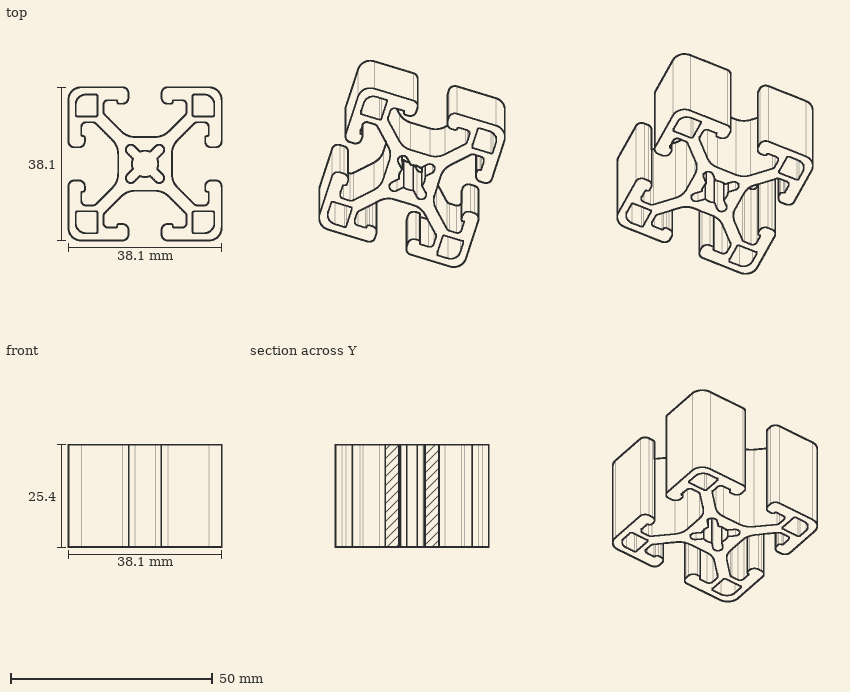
import cadquery as cq
import math

WIDTH = 38.1
LENGTH = 25.4
HALF = WIDTH / 2
CORNER_RADIUS = 3.2

MOUTH_HALF = 4.08
LIP_DEPTH = 4.15
LIP_RADIUS = 1.55
LIP_INNER_HALF = 6.95
LIP_INNER_RADIUS = 0.55
SHELF_DEPTH = 3.28
SHELF_STEP_RADIUS = 0.23
UNDERCUT_HALF = 10.3
UNDERCUT_RADIUS = 1.05
FLOOR_HEIGHT = 6.7
FLOOR_RADIUS = 4.8
WEB_WIDTH = 3.12

CHAMBER_WALL = 1.85
CHAMBER_INNER = 11.8
CHAMBER_RADIUS = 2.48
CHAMBER_SMALL_RADIUS = 0.4

BORE_RADIUS = 3.25
LOBE_RADIUS = 1.22
LOBE_CENTER = 3.5

QUARTER_TURNS = (0, 90, 180, 270)


def round_edge(body, x, y, radius):
    """Fillet the lengthwise edge that passes through (x, y)."""
    edge_finder = cq.selectors.NearestToPointSelector((x, y, LENGTH / 2))
    return body.edges("|Z").edges(edge_finder).fillet(radius)


def make_slot():
    """Cutting body for the T-slot on the +Y side."""
    web_offset = WEB_WIDTH / 2 * math.sqrt(2)
    lip_y = HALF - LIP_DEPTH
    shelf_y = HALF - SHELF_DEPTH
    right_side = [
        (FLOOR_HEIGHT - web_offset, FLOOR_HEIGHT),
        (UNDERCUT_HALF, UNDERCUT_HALF + web_offset),
        (UNDERCUT_HALF, shelf_y),
        (LIP_INNER_HALF, shelf_y),
        (LIP_INNER_HALF, lip_y),
        (MOUTH_HALF, lip_y),
        (MOUTH_HALF, HALF),
    ]
    left_side = [(-x, y) for x, y in reversed(right_side)]
    slot = cq.Workplane("XY").polyline(right_side + left_side).close().extrude(LENGTH)

    radii = [
        FLOOR_RADIUS,
        UNDERCUT_RADIUS,
        UNDERCUT_RADIUS,
        SHELF_STEP_RADIUS,
        LIP_INNER_RADIUS,
        LIP_RADIUS,
    ]
    for (x, y), radius in zip(right_side, radii):
        for side in (1, -1):
            slot = round_edge(slot, side * x, y, radius)
    return slot


def make_chamber():
    """Cutting body for the hollow chamber in the +X +Y corner."""
    outer = HALF - CHAMBER_WALL
    size = outer - CHAMBER_INNER
    chamber = (
        cq.Workplane("XY")
        .rect(size, size, centered=False)
        .extrude(LENGTH)
        .translate((CHAMBER_INNER, CHAMBER_INNER, 0))
    )
    chamber = round_edge(chamber, outer, outer, CHAMBER_RADIUS)
    for x, y in [(CHAMBER_INNER, CHAMBER_INNER), (outer, CHAMBER_INNER), (CHAMBER_INNER, outer)]:
        chamber = round_edge(chamber, x, y, CHAMBER_SMALL_RADIUS)
    return chamber


def make_bore():
    """Cutting body for the central bore and its diagonal lobes."""
    bore = cq.Workplane("XY").circle(BORE_RADIUS).extrude(LENGTH)
    lobe_span = 2 * LOBE_CENTER * math.sqrt(2) + 2 * LOBE_RADIUS
    for angle in (45, 135):
        bore = bore.union(
            cq.Workplane("XY").slot2D(lobe_span, 2 * LOBE_RADIUS, angle).extrude(LENGTH)
        )
    return bore


def make_profile():
    profile = cq.Workplane("XY").rect(WIDTH, WIDTH).extrude(LENGTH)
    profile = profile.edges("|Z").fillet(CORNER_RADIUS)
    slot = make_slot()
    chamber = make_chamber()
    axis_start, axis_end = (0, 0, 0), (0, 0, 1)
    for angle in QUARTER_TURNS:
        profile = profile.cut(slot.rotate(axis_start, axis_end, angle))
        profile = profile.cut(chamber.rotate(axis_start, axis_end, angle))
    profile = profile.cut(make_bore())

    for angle in QUARTER_TURNS:
        turn = math.radians(angle)
        for x in (-MOUTH_HALF, MOUTH_HALF):
            edge_x = x * math.cos(turn) - HALF * math.sin(turn)
            edge_y = x * math.sin(turn) + HALF * math.cos(turn)
            profile = round_edge(profile, edge_x, edge_y, LIP_RADIUS)
    return profile


result = make_profile()